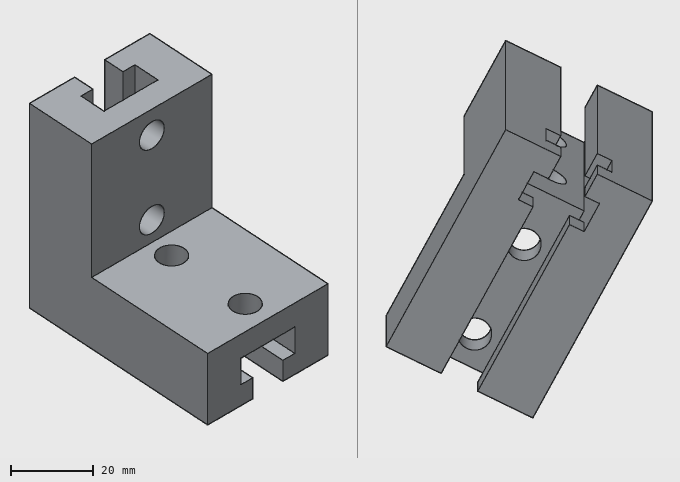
import cadquery as cq

leg_length = 63.0
width = 40.0
leg_thickness = 22.0
neck_width = 9.95
neck_depth = 6.5
head_width = 17.9
slot_depth = 14.6
hole_diameter = 8.25
hole_positions = (29.0, 55.0)


def outer_box(depth, box_width):
    """Box along the outer face of the upright leg, centred on Y."""
    return cq.Workplane("XY").box(depth, box_width, leg_length, centered=(False, True, False))


def upright_cutter():
    """T-slot along Z in the upright leg, with its bolt holes through X."""
    head = outer_box(slot_depth - neck_depth, head_width).translate((neck_depth, 0, 0))
    cutter = outer_box(neck_depth, neck_width).union(head)
    for height in hole_positions:
        hole = (
            cq.Workplane("YZ")
            .center(0, height)
            .circle(hole_diameter / 2)
            .extrude(leg_thickness)
        )
        cutter = cutter.union(hole)
    return cutter


def swap_legs(shape):
    """Map the upright leg onto the base leg, exchanging X and Z."""
    return shape.rotate((0, 0, 0), (0, 1, 0), 90).mirror("XY")


upright = outer_box(leg_thickness, width)
body = upright.union(swap_legs(upright))

slot_and_holes = upright_cutter()
result = body.cut(slot_and_holes).cut(swap_legs(slot_and_holes))